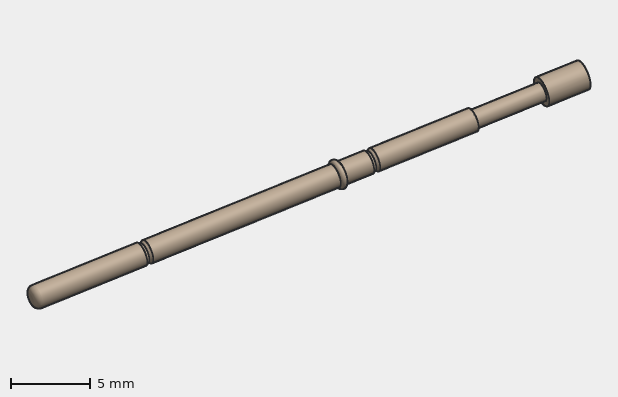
import cadquery as cq

overall_length = 40.0
head_radius = 1.0
head_length = 3.0
plunger_radius = 0.65
barrel_radius = 0.8
tail_flat_radius = 0.38

collar_radius = 1.0
collar_width = 0.5
groove_depth = 0.1
groove_width = 0.45

barrel_start = 8.0
front_groove_distance = 15.35
collar_distance = 17.75
rear_groove_distance = 31.8

head_face_y = overall_length / 2
overlap = 0.2


def cylinder(start_distance, length, radius):
    """Cylinder on the Y axis, running toward the tail from the given distance."""
    plane = cq.Plane(origin=(0, head_face_y - start_distance, 0), xDir=(1, 0, 0), normal=(0, -1, 0))
    return cq.Workplane(plane).circle(radius).extrude(length)


def collar():
    """Press ring around the barrel with a half-round rim."""
    half_width = collar_width / 2
    center_y = head_face_y - collar_distance
    shoulder_radius = collar_radius - half_width
    return (
        cq.Workplane("XY")
        .moveTo(0, center_y - half_width)
        .lineTo(shoulder_radius, center_y - half_width)
        .threePointArc((collar_radius, center_y), (shoulder_radius, center_y + half_width))
        .lineTo(0, center_y + half_width)
        .close()
        .revolve(360, (0, 0, 0), (0, 1, 0))
    )


def groove(distance):
    """Ring-shaped cutter for a V-shaped groove in the barrel."""
    half_width = groove_width / 2
    center_y = head_face_y - distance
    floor_radius = barrel_radius - groove_depth
    outer_radius = barrel_radius + overlap
    return (
        cq.Workplane("XY")
        .moveTo(outer_radius, center_y - half_width)
        .lineTo(barrel_radius, center_y - half_width)
        .lineTo(floor_radius, center_y)
        .lineTo(barrel_radius, center_y + half_width)
        .lineTo(outer_radius, center_y + half_width)
        .close()
        .revolve(360, (0, 0, 0), (0, 1, 0))
    )


head = cylinder(0, head_length, head_radius)
plunger = cylinder(head_length - overlap, barrel_start - head_length + 2 * overlap, plunger_radius)
barrel = cylinder(barrel_start, overall_length - barrel_start, barrel_radius)
barrel = barrel.faces("<Y").edges().fillet(barrel_radius - tail_flat_radius)

result = head.union(plunger).union(barrel).union(collar())
for groove_distance in (front_groove_distance, rear_groove_distance):
    result = result.cut(groove(groove_distance))